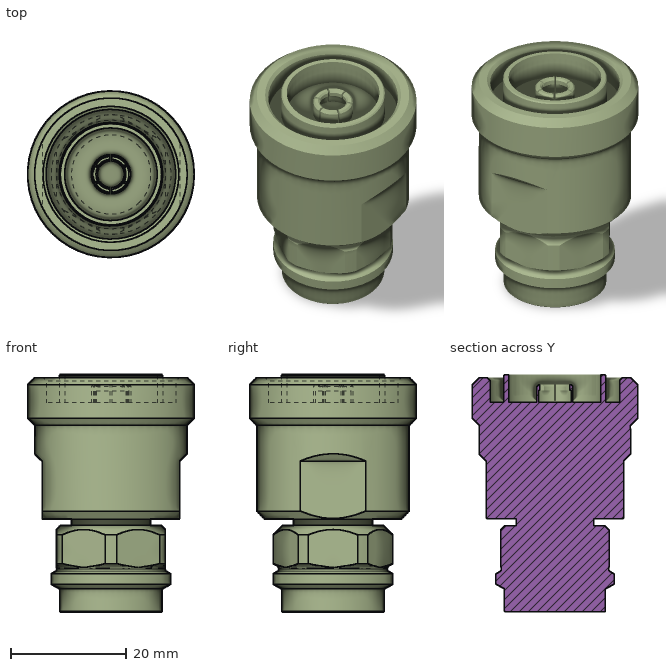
import cadquery as cq
import math

total_height = 41.3

sleeve_radius = 8.92
sleeve_top = 4.0
sleeve_edge = 0.15

flange_radius = 10.4
flange_bottom = 4.85
flange_top = 6.65

groove_radius = 9.45
groove_fillet = 0.45
groove_wall_angle = math.radians(30)

hex_across_flats = 18.95
hex_half_angle = 30
hex_corner_radius = flange_radius
hex_bottom = 8.43
hex_top = 15.07
hex_chamfer = 1.65

neck_radius = 6.9
body_radius = 13.25
body_bottom = 16.15
body_chamfer = 1.4

flats_width = 23.95
flats_top = 26.23

collar_radius = 14.5
collar_bottom = 32.45
collar_top = 40.75
collar_chamfer = collar_radius - body_radius
opening_radius = 11.27
opening_chamfer = 0.55

cavity_floor = 36.5
tube_outer_radius = 9.0
tube_inner_radius = 8.05
tube_edge = 0.2

contact_radius = 3.43
contact_top = 39.52
contact_edge = 0.3
lip_radius = 2.3
lip_bottom = 38.5
contact_bore_radius = 3.05
slot_count = 6
slot_width = 0.35


def revolve_profile(profile):
    return profile.close().revolve(360, (0, 0, 0), (0, 1, 0))


def make_outer_body():
    """Everything outside: sleeve, flange, groove, round hexagon blank, neck, body and collar."""
    turn = math.pi / 2 - groove_wall_angle
    fillet_rise = groove_fillet * math.sin(turn)
    fillet_run = groove_fillet * (1 - math.cos(turn))
    mid_rise = groove_fillet * math.sin(turn / 2)
    mid_run = groove_fillet * (1 - math.cos(turn / 2))
    wall_radius = groove_radius + fillet_run
    wall_rise = (flange_radius - wall_radius) * math.tan(groove_wall_angle)
    lower_wall = flange_top + wall_rise
    upper_wall = hex_bottom - wall_rise
    lower_floor = lower_wall + fillet_rise
    upper_floor = upper_wall - fillet_rise
    mid_radius = groove_radius + mid_run

    profile = (
        cq.Workplane("XZ")
        .moveTo(0, 0)
        .lineTo(sleeve_radius - sleeve_edge, 0)
        .lineTo(sleeve_radius, sleeve_edge)
        .lineTo(sleeve_radius, sleeve_top)
        .lineTo(flange_radius, flange_bottom)
        .lineTo(flange_radius, flange_top)
        .lineTo(wall_radius, lower_wall)
        .threePointArc((mid_radius, lower_floor - mid_rise), (groove_radius, lower_floor))
        .lineTo(groove_radius, upper_floor)
        .threePointArc((mid_radius, upper_floor + mid_rise), (wall_radius, upper_wall))
        .lineTo(hex_corner_radius, hex_bottom)
        .lineTo(hex_corner_radius, hex_top - hex_chamfer)
        .lineTo(hex_corner_radius - hex_chamfer, hex_top)
        .lineTo(neck_radius, hex_top)
        .lineTo(neck_radius, body_bottom)
        .lineTo(body_radius - body_chamfer, body_bottom)
        .lineTo(body_radius, body_bottom + body_chamfer)
        .lineTo(body_radius, collar_bottom)
        .lineTo(collar_radius, collar_bottom + collar_chamfer)
        .lineTo(collar_radius, collar_top - collar_chamfer)
        .lineTo(collar_radius - collar_chamfer, collar_top)
        .lineTo(0, collar_top)
    )
    return revolve_profile(profile)


def make_hex_cutter():
    """Ring that trims the round blank to six flats, two of them facing +X and -X."""
    start = (flange_top + hex_bottom) / 2
    height = hex_top - start
    corner_diameter = hex_across_flats / math.cos(math.radians(hex_half_angle))
    ring = cq.Workplane("XY").workplane(offset=start).circle(collar_radius).extrude(height)
    prism = (
        cq.Workplane("XY")
        .workplane(offset=start)
        .transformed(rotate=(0, 0, hex_half_angle))
        .polygon(6, corner_diameter)
        .extrude(height)
    )
    return ring.cut(prism)


def make_flat_cutter(side):
    """Wrench flat on one X side (side = 1 or -1), ending in a 45 degree run-out at the top."""
    flat_x = flats_width / 2
    reach = collar_radius - flat_x
    points = [
        (flat_x, body_bottom),
        (flat_x, flats_top),
        (flat_x + reach, flats_top + reach),
        (flat_x + reach, body_bottom),
    ]
    outline = [(side * x, z) for x, z in points]
    return cq.Workplane("XZ").polyline(outline).close().extrude(body_radius, both=True)


def make_cavity():
    """Front opening with a chamfered mouth."""
    profile = (
        cq.Workplane("XZ")
        .moveTo(0, cavity_floor)
        .lineTo(opening_radius, cavity_floor)
        .lineTo(opening_radius, collar_top - opening_chamfer)
        .lineTo(opening_radius + opening_chamfer, collar_top)
        .lineTo(0, collar_top)
    )
    return revolve_profile(profile)


def make_tube():
    """Outer conductor, reaching just past the collar."""
    profile = (
        cq.Workplane("XZ")
        .moveTo(tube_inner_radius, cavity_floor)
        .lineTo(tube_outer_radius, cavity_floor)
        .lineTo(tube_outer_radius, total_height - tube_edge)
        .lineTo(tube_outer_radius - tube_edge, total_height)
        .lineTo(tube_inner_radius, total_height)
    )
    return revolve_profile(profile)


def make_contact():
    """Centre contact with an inner lip, split into spring fingers by radial slots."""
    profile = (
        cq.Workplane("XZ")
        .moveTo(contact_bore_radius, cavity_floor)
        .lineTo(contact_radius, cavity_floor)
        .lineTo(contact_radius, contact_top - contact_edge)
        .lineTo(contact_radius - contact_edge, contact_top)
        .lineTo(lip_radius + contact_edge, contact_top)
        .lineTo(lip_radius, contact_top - contact_edge)
        .lineTo(lip_radius, lip_bottom)
        .lineTo(contact_bore_radius, lip_bottom)
    )
    contact = revolve_profile(profile)
    for index in range(slot_count // 2):
        slot = (
            cq.Workplane("XY")
            .workplane(offset=cavity_floor)
            .transformed(rotate=(0, 0, 90 + index * 360 / slot_count))
            .rect(2 * collar_radius, slot_width)
            .extrude(contact_top - cavity_floor)
        )
        contact = contact.cut(slot)
    return contact


result = make_outer_body().cut(make_hex_cutter())
for side in (1, -1):
    result = result.cut(make_flat_cutter(side))
result = result.cut(make_cavity()).union(make_tube()).union(make_contact())